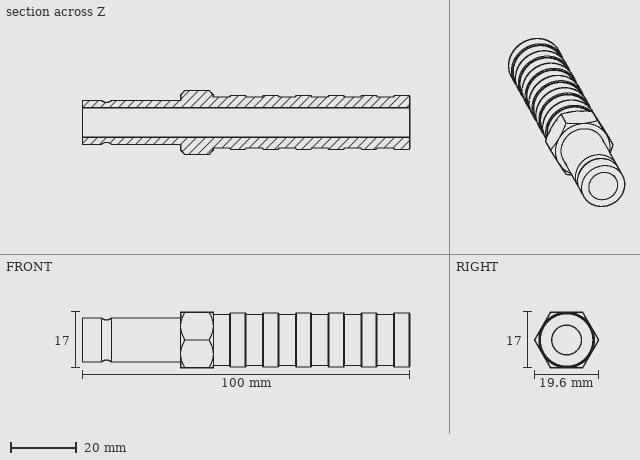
import cadquery as cq

TOTAL_LENGTH = 100.0
TUBE_LENGTH = 30.0
HEX_LENGTH = 10.0
HEX_END = TUBE_LENGTH + HEX_LENGTH
SHANK_LENGTH = TOTAL_LENGTH - HEX_END

BORE_DIAMETER = 9.0
TUBE_DIAMETER = 13.5
SHANK_DIAMETER = 15.6
RIB_DIAMETER = 16.6

GROOVE_CENTER = 7.4
GROOVE_WIDTH = 3.0
GROOVE_DEPTH = 0.6

HEX_ACROSS_FLATS = 17.0
HEX_CORNER_CHAMFER = 1.3

RIB_COUNT = 6
RIB_WIDTH = 5.0
RIB_PITCH = 10.0
RIB_CHAMFER = 0.3


def cylinder(start, length, diameter):
    """Solid cylinder on the X axis, beginning at x = start."""
    return cq.Workplane("YZ", origin=(start, 0, 0)).circle(diameter / 2).extrude(length)


def tube():
    """Plain tube with a round-bottomed retaining groove."""
    radius = TUBE_DIAMETER / 2
    groove_start = GROOVE_CENTER - GROOVE_WIDTH / 2
    groove_end = GROOVE_CENTER + GROOVE_WIDTH / 2
    return (
        cq.Workplane("XY")
        .moveTo(0, 0)
        .lineTo(0, radius)
        .lineTo(groove_start, radius)
        .threePointArc((GROOVE_CENTER, radius - GROOVE_DEPTH), (groove_end, radius))
        .lineTo(TUBE_LENGTH, radius)
        .lineTo(TUBE_LENGTH, 0)
        .close()
        .revolve(360, (0, 0, 0), (1, 0, 0))
    )


def hexagon():
    """Hexagon whose corners are cut back at both ends by 45 degree cones."""
    prism = (
        cq.Workplane("YZ", origin=(TUBE_LENGTH, 0, 0))
        .polygon(6, HEX_ACROSS_FLATS, circumscribed=True)
        .extrude(HEX_LENGTH)
        .rotate((0, 0, 0), (1, 0, 0), 90)
    )
    chamfered_bar = cylinder(TUBE_LENGTH, HEX_LENGTH, HEX_ACROSS_FLATS + 2 * HEX_CORNER_CHAMFER)
    return prism.intersect(chamfered_bar.edges("%CIRCLE").chamfer(HEX_CORNER_CHAMFER))


def shank():
    """Hose shank with evenly spaced ribs chamfered on both sides."""
    body = cylinder(HEX_END, SHANK_LENGTH, SHANK_DIAMETER)
    for index in range(RIB_COUNT):
        start = TOTAL_LENGTH - RIB_WIDTH - index * RIB_PITCH
        rib = cylinder(start, RIB_WIDTH, RIB_DIAMETER)
        body = body.union(rib.edges("%CIRCLE").chamfer(RIB_CHAMFER))
    return body


bore = cylinder(0, TOTAL_LENGTH, BORE_DIAMETER)
result = tube().union(hexagon()).union(shank()).cut(bore)